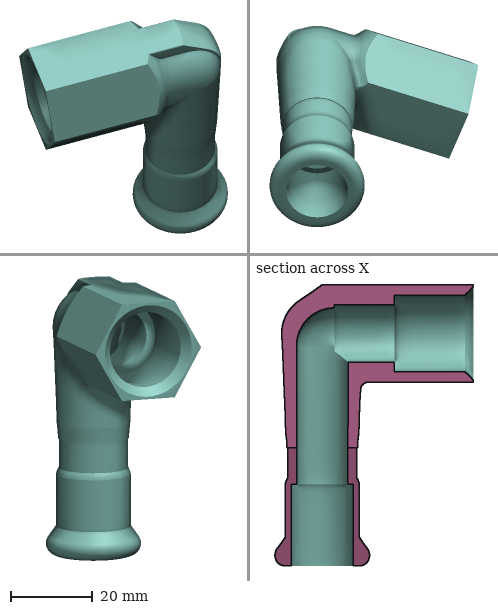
import cadquery as cq
import math

top_z = 69.0
hex_flats = 24.0
hex_corner_radius = hex_flats / math.sqrt(3)
hex_axis_z = top_z - hex_flats / 2
hex_front_y = -37.0
hex_corner_back_y = -10.75
joint_z = 29.0

bend_axis_z = 56.65
elbow_radius = 10.0
taper_end_radius = 9.05
taper_end_z = 32.9
collar_radius = 8.7
corner_blend_radius = 1.7

rib_half_width = 4.2
rib_edge_radius = 0.4
rib_turn_y = -12.4
rib_arc_start = (5.45, 65.2)
rib_arc_mid = (8.3, 62.5)

bore_radius = 18.6 / 2
mouth_radius = 22.8 / 2
mouth_depth = 2.1
bore_depth = 19.3
bore_floor_y = hex_front_y + bore_depth
seat_radius = 14.0 / 2
passage_radius = 12.5 / 2
passage_bend_radius = 3.05

pipe_radius = 17.0 / 2
sleeve_radius = 18.3 / 2
sleeve_top_z = 20.0
neck_bottom_z = 21.7
sleeve_bottom_z = 7.1
bead_radius = 2.7
bead_center_radius = 9.0
bead_top_z = 4.2
socket_radius = 15.2 / 2


def cylinder_along_y(radius, start_y, end_y, axis_z):
    return (
        cq.Workplane("XZ", origin=(0, start_y, axis_z))
        .circle(radius)
        .extrude(start_y - end_y)
    )


def make_hexagon():
    """Hexagonal end with its back corners turned to a 45 degree cone."""
    hexagon = (
        cq.Workplane("XZ", origin=(0, 0, hex_axis_z))
        .polygon(6, 2 * hex_corner_radius)
        .extrude(-hex_front_y)
    )
    cone_tip_y = hex_corner_back_y + hex_corner_radius
    envelope_radius = hex_corner_radius + 0.7
    envelope = (
        cq.Workplane("XY")
        .moveTo(0, hex_front_y)
        .lineTo(envelope_radius, hex_front_y)
        .lineTo(envelope_radius, cone_tip_y - envelope_radius)
        .lineTo(0, cone_tip_y)
        .close()
        .revolve(360, (0, 0, 0), (0, 1, 0))
        .translate((0, 0, hex_axis_z))
    )
    return hexagon.intersect(envelope)


def make_elbow():
    """Tapered leg with a spherical bend."""
    return (
        cq.Workplane("XZ")
        .moveTo(0, joint_z)
        .lineTo(collar_radius, joint_z)
        .lineTo(taper_end_radius, taper_end_z)
        .lineTo(elbow_radius, bend_axis_z)
        .threePointArc(
            (elbow_radius * math.sqrt(0.5), bend_axis_z + elbow_radius * math.sqrt(0.5)),
            (0, bend_axis_z + elbow_radius),
        )
        .close()
        .revolve(360, (0, 0, 0), (0, 1, 0))
    )


def make_rib():
    """Rib with a crowned back, cut to the width of the rib and to the bend radius."""
    crown = (
        cq.Workplane("YZ")
        .moveTo(rib_turn_y, bend_axis_z)
        .lineTo(elbow_radius, bend_axis_z)
        .threePointArc(rib_arc_mid, rib_arc_start)
        .lineTo(0, top_z)
        .lineTo(rib_turn_y, top_z)
        .close()
        .revolve(360, (rib_turn_y, 0, 0), (rib_turn_y, 1, 0))
    )
    height = top_z - bend_axis_z
    footprint = (
        cq.Workplane("XY", origin=(0, rib_turn_y / 2, bend_axis_z))
        .rect(2 * elbow_radius, -rib_turn_y)
        .extrude(height)
        .union(cq.Workplane("XY", origin=(0, 0, bend_axis_z)).circle(elbow_radius).extrude(height))
    )
    strip = (
        cq.Workplane("XY", origin=(0, 0, bend_axis_z))
        .rect(2 * rib_half_width, -4 * rib_turn_y)
        .extrude(height)
        .edges("|Y and >Z")
        .fillet(rib_edge_radius)
    )
    return crown.intersect(footprint).intersect(strip)


def make_passage():
    """Passage from the seat, round the bend and down to the joint."""
    bend_y = -passage_bend_radius
    bend_z = hex_axis_z - passage_bend_radius
    seat = cylinder_along_y(seat_radius, bend_y, bore_floor_y, hex_axis_z)
    drop = (
        cq.Workplane("XY", origin=(0, 0, joint_z))
        .circle(passage_radius)
        .extrude(bend_z - joint_z)
    )
    half_chord = math.sqrt(passage_radius**2 - passage_bend_radius**2)
    bend = (
        cq.Workplane("XY", origin=(0, 0, bend_z))
        .moveTo(-half_chord, bend_y)
        .threePointArc((0, passage_radius), (half_chord, bend_y))
        .close()
        .revolve(90, (0, bend_y, 0), (1, bend_y, 0))
    )
    return drop.union(seat).union(bend)


def make_bore():
    """Round bore with a flared mouth."""
    return (
        cq.Workplane("XY")
        .moveTo(0, hex_front_y)
        .lineTo(mouth_radius, hex_front_y)
        .lineTo(bore_radius, hex_front_y + mouth_depth)
        .lineTo(bore_radius, bore_floor_y)
        .lineTo(0, bore_floor_y)
        .close()
        .revolve(360, (0, 0, 0), (0, 1, 0))
        .translate((0, 0, hex_axis_z))
    )


def blend_inner_corner(casting):
    """Round the corner where the back of the hexagon meets the barrel and the leg."""
    reach = elbow_radius + 0.7
    on_barrel_foot = cq.selectors.BoxSelector(
        (-reach, -elbow_radius, hex_axis_z - hex_flats / 2 - 0.7),
        (reach, -elbow_radius / 2, top_z),
        boundingbox=True,
    )
    return casting.edges(on_barrel_foot).fillet(corner_blend_radius)


def make_housing():
    barrel = cylinder_along_y(elbow_radius, 0, hex_corner_back_y, bend_axis_z)
    casting = make_elbow().union(barrel).union(make_hexagon())
    casting = blend_inner_corner(casting)
    return casting.union(make_rib()).cut(make_bore()).cut(make_passage())


def make_press_pipe():
    bead_side = math.sqrt(bead_radius**2 - (bead_top_z - bead_radius) ** 2)
    shoulder_mid = ((pipe_radius + 2 * sleeve_radius) / 3, (neck_bottom_z + sleeve_top_z) / 2)
    return (
        cq.Workplane("XZ")
        .moveTo(socket_radius, 0)
        .lineTo(bead_center_radius, 0)
        .threePointArc(
            (bead_center_radius + bead_radius, bead_radius),
            (bead_center_radius + bead_side, bead_top_z),
        )
        .lineTo(sleeve_radius, sleeve_bottom_z)
        .lineTo(sleeve_radius, sleeve_top_z)
        .threePointArc(shoulder_mid, (pipe_radius, neck_bottom_z))
        .lineTo(pipe_radius, joint_z)
        .lineTo(passage_radius, joint_z)
        .lineTo(passage_radius, sleeve_top_z)
        .lineTo(socket_radius, sleeve_top_z)
        .close()
        .revolve(360, (0, 0, 0), (0, 1, 0))
    )


housing = make_housing()
press_pipe = make_press_pipe()
result = cq.Compound.makeCompound([housing.val(), press_pipe.val()])